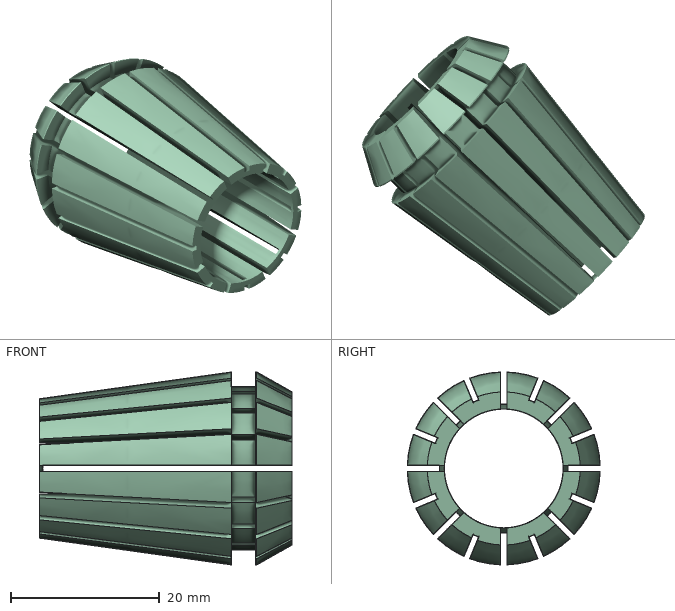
import cadquery as cq
import math

length = 34.0
bore_radius = 8.0
nose_radius = 9.4
max_radius = 13.0
rear_radius = 10.3

groove_start = 25.85
groove_width = 3.23
groove_radius = 11.0

land_width = 0.17

slot_width = 0.8
slots_per_end = 8
slot_pitch = 360.0 / slots_per_end
nose_web_radius = 8.67
rear_web_radius = 9.83
nose_run_out_angle = 57.0
rear_run_out_angle = 45.0
cut_margin = 1.7


def collet_body():
    groove_end = groove_start + groove_width
    profile = [
        (0, bore_radius),
        (0, nose_radius),
        (groove_start, max_radius),
        (groove_start, groove_radius),
        (groove_end, groove_radius),
        (groove_end, max_radius),
        (groove_end + land_width, max_radius),
        (length, rear_radius),
        (length, bore_radius),
    ]
    outline = cq.Workplane("XY").polyline(profile).close()
    return outline.revolve(360, (0, 0, 0), (1, 0, 0))


def slot_cutter(web_radius, run_out_angle):
    """Slot open at X = length, with a sloped run-out leaving a web at X = 0."""
    slope = math.tan(math.radians(run_out_angle))
    inner = bore_radius - cut_margin
    outer = max_radius + cut_margin
    profile = [
        (-cut_margin, web_radius + cut_margin * slope),
        ((web_radius - inner) / slope, inner),
        (length + cut_margin, inner),
        (length + cut_margin, outer),
        (-cut_margin, outer),
    ]
    return cq.Workplane("XY").polyline(profile).close().extrude(slot_width / 2, both=True)


def cut_slots(body, cutter, first_angle):
    for index in range(slots_per_end):
        angle = first_angle + index * slot_pitch
        body = body.cut(cutter.rotate((0, 0, 0), (1, 0, 0), angle))
    return body


rear_slot = slot_cutter(nose_web_radius, nose_run_out_angle)

nose_slot = slot_cutter(rear_web_radius, rear_run_out_angle).mirror("YZ").translate((length, 0, 0))

result = collet_body()
result = cut_slots(result, rear_slot, 0)
result = cut_slots(result, nose_slot, slot_pitch / 2)